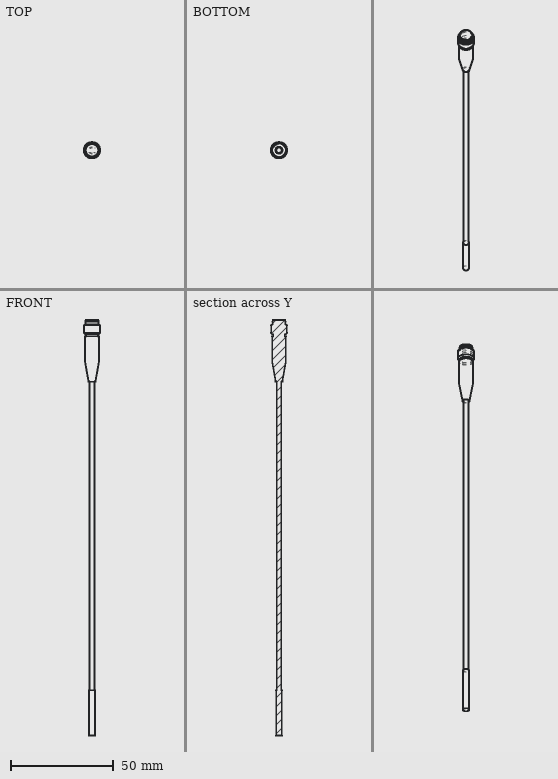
import cadquery as cq

wire_end_diameter = 3.0
cable_diameter = 2.6
relief_end_diameter = 3.45
grip_diameter = 7.0
lower_neck_diameter = 6.0
nut_diameter = 8.0
nut_bottom_diameter = 6.4
nut_top_diameter = 6.8
upper_neck_diameter = 6.4
barb_diameter = 6.8
tip_face_diameter = 6.0

wire_end_length = 22.0
cable_length = 150.0
relief_length = 10.0
grip_length = 12.0
lower_neck_length = 0.9
nut_bottom_chamfer_length = 0.8
nut_straight_length = 3.6
nut_top_chamfer_length = 0.6
upper_neck_length = 1.1
barb_length = 1.0


def tapered_section(lower_diameter, upper_diameter, length):
    """Round section standing on the XY plane, conical if its two diameters differ."""
    lower_radius = lower_diameter / 2
    upper_radius = upper_diameter / 2
    profile = cq.Workplane("XZ").polyline([(0, 0), (lower_radius, 0), (upper_radius, length), (0, length)])
    return profile.close().revolve(360, (0, 0, 0), (0, 1, 0))


def straight_section(diameter, length):
    """Cylinder standing on the XY plane."""
    return tapered_section(diameter, diameter, length)


def stack(sections):
    """Join (solid, length) sections end to end, upward from Z = 0."""
    base = 0
    joined = cq.Workplane("XY")
    for solid, length in sections:
        joined = joined.union(solid.translate((0, 0, base)))
        base += length
    return joined


def cable_sections():
    """Cable with its slightly thicker free end."""
    return [
        (straight_section(wire_end_diameter, wire_end_length), wire_end_length),
        (straight_section(cable_diameter, cable_length), cable_length),
    ]


def grip_sections():
    """Conical bend relief and cylindrical grip."""
    return [
        (tapered_section(relief_end_diameter, grip_diameter, relief_length), relief_length),
        (straight_section(grip_diameter, grip_length), grip_length),
    ]


def nut_sections():
    """Neck above the grip and the coupling nut, chamfered at both ends."""
    bottom_chamfer = tapered_section(nut_bottom_diameter, nut_diameter, nut_bottom_chamfer_length)
    top_chamfer = tapered_section(nut_diameter, nut_top_diameter, nut_top_chamfer_length)
    return [
        (straight_section(lower_neck_diameter, lower_neck_length), lower_neck_length),
        (bottom_chamfer, nut_bottom_chamfer_length),
        (straight_section(nut_diameter, nut_straight_length), nut_straight_length),
        (top_chamfer, nut_top_chamfer_length),
    ]


def tip_sections():
    """Neck above the nut and the snap-in barb that narrows to the flat tip face."""
    return [
        (straight_section(upper_neck_diameter, upper_neck_length), upper_neck_length),
        (tapered_section(barb_diameter, tip_face_diameter, barb_length), barb_length),
    ]


result = stack(cable_sections() + grip_sections() + nut_sections() + tip_sections())